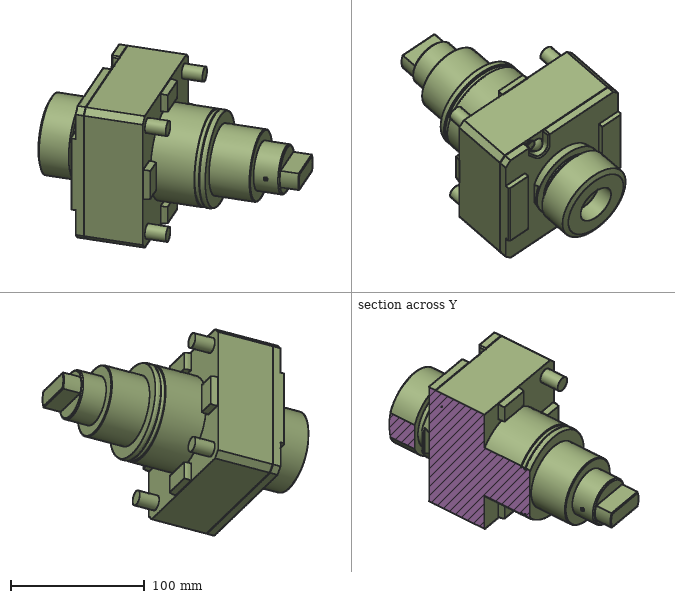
import cadquery as cq
import math


total_length = 201.7
nut_end = 25.2
neck_step_x = 29.5
collar_start = 31.9
collar_flat_start = 33.5
housing_front = 38.5
cover_joint = 44.8
housing_back = 91.4
pilot_end = 134.3
sleeve_end = 166.5
shaft_end = 186.7

nut_radius = 31.5
neck_radius = 25.2
undercut_radius = 24.0
collar_radius = 30.7
collar_rear_radius = 29.2
pilot_radius = 37.5
sleeve_radius = 27.6
shaft_radius = 19.2

nut_chamfer_length = 2.0
nut_chamfer_depth = 4.0
bore_radius = 15.1
bore_depth = 14.0
collar_half_flats = 27.6

pilot_chamfer_length = 2.0
pilot_chamfer_depth = 0.6
sleeve_chamfer = 0.6
shaft_chamfer = 1.0

ring_groove_start = 125.8
ring_groove_width = 4.0
ring_width = 3.2
ring_groove_depth = 1.2
ring_height = 1.0

housing_side = 112.0
housing_half = housing_side / 2
housing_chamfer = 4.8
joint_width = 0.5
joint_depth = 0.1
joint_end = cover_joint + joint_width

pad_thickness = 3.8
pad_width = 19.2
pad_height = 60.5
pad_outer_chamfer = 1.0

pocket_radius = 7.9
pocket_y = 19.8
pocket_z = 44.2
pocket_left_y = 32.9
pocket_right_y = pocket_y - pocket_radius
pocket_corner_z = 47.5
pocket_chamfer = 1.2
ball_radius = 5.8
ball_height = 4.2
stud_radius = 4.0
stud_height = 1.6
stud_y = 26.6
stud_z = 49.6

screw_radius = 5.8
screw_length = 16.3
screw_offset = 45.0
key_width = 24.8
key_height = 5.5
key_inner = 40.3
key_outer = 55.3
key_draft = 0.8
key_taper_length = 2.6
key_taper_depth = 0.6

tang_radius = 17.3
tang_thickness = 14.1
tang_chamfer = 0.6
pin_hole_x = 176.0
pin_hole_radius = 0.8
pin_sink_radius = 1.6
pin_hole_depth = 4.0


def rod(start, end, radius):
    """Solid cylinder on the spindle axis between two x positions."""
    return cq.Workplane("YZ", origin=(start, 0, 0)).circle(radius).extrude(end - start)


def box(x_range, y_range, z_range):
    """Box given by its limits along each axis."""
    (x0, x1), (y0, y1), (z0, z1) = x_range, y_range, z_range
    return cq.Workplane("XY").box(x1 - x0, y1 - y0, z1 - z0, centered=False).translate((x0, y0, z0))


def make_nut():
    """Collet nut with a chamfered nose and a blind bore."""
    nut = rod(0, nut_end, nut_radius)
    nut = nut.faces("<X").chamfer(nut_chamfer_length, nut_chamfer_depth)
    return nut.cut(rod(0, bore_depth, bore_radius))


def make_neck_and_collar():
    """Stepped neck behind the nut, then a slightly conical collar with two wrench flats."""
    neck = rod(nut_end, neck_step_x, neck_radius)
    undercut = rod(neck_step_x, collar_start, undercut_radius)
    collar = cq.Workplane(
        cq.Solid.makeCone(
            collar_radius,
            collar_rear_radius,
            housing_front - collar_start,
            pnt=cq.Vector(collar_start, 0, 0),
            dir=cq.Vector(1, 0, 0),
        )
    )
    for y_range in ((collar_half_flats, collar_radius), (-collar_radius, -collar_half_flats)):
        collar = collar.cut(box((collar_flat_start, housing_front), y_range, (-collar_radius, collar_radius)))
    return neck.union(undercut).union(collar)


def make_square_plate(start, end, side, chamfer):
    plate = cq.Workplane("YZ", origin=(start, 0, 0)).rect(side, side).extrude(end - start)
    return plate.edges("|X").chamfer(chamfer)


def make_housing():
    """Square block with a shallow groove around it where the front cover meets the body."""
    housing = make_square_plate(housing_front, housing_back, housing_side, housing_chamfer)
    blank = make_square_plate(cover_joint, joint_end, housing_side, housing_chamfer)
    core = make_square_plate(cover_joint, joint_end, housing_side - 2 * joint_depth, housing_chamfer)
    return housing.cut(blank.cut(core))


def make_pad():
    """Pad at the +Y edge of the front face."""
    pad = box(
        (housing_front - pad_thickness, housing_front),
        (housing_half - pad_width, housing_half),
        (-pad_height / 2, pad_height / 2),
    )
    return pad.edges("<X and >Y").chamfer(pad_outer_chamfer)


def pocket_outline():
    """Outline of the coolant pocket: open at the top, round below, slanted side tangent to the round."""
    corner_y = pocket_left_y - pocket_y
    corner_z = pocket_corner_z - pocket_z
    corner_angle = math.atan2(corner_z, corner_y)
    tangent_angle = corner_angle - math.acos(pocket_radius / math.hypot(corner_y, corner_z))
    tangent = (
        pocket_y + pocket_radius * math.cos(tangent_angle),
        pocket_z + pocket_radius * math.sin(tangent_angle),
    )
    open_end_z = housing_half + pocket_radius
    return (
        cq.Workplane("YZ", origin=(housing_front, 0, 0))
        .moveTo(pocket_left_y, open_end_z)
        .lineTo(pocket_left_y, pocket_corner_z)
        .lineTo(*tangent)
        .threePointArc((pocket_y, pocket_z - pocket_radius), (pocket_right_y, pocket_z))
        .lineTo(pocket_right_y, open_end_z)
        .close()
    )


def cut_pocket(body):
    """Cut the pocket through the cover to the body face, with chamfered front and top edges."""
    depth = joint_end - housing_front
    front_chamfer = pocket_outline().extrude(pocket_chamfer, taper=45)
    recess = pocket_outline().offset2D(-pocket_chamfer).extrude(depth)
    top_chamfer = (
        cq.Workplane("YZ", origin=(housing_front, 0, 0))
        .moveTo(pocket_left_y, housing_half)
        .lineTo(pocket_left_y - pocket_chamfer, housing_half - pocket_chamfer)
        .lineTo(pocket_right_y + pocket_chamfer, housing_half - pocket_chamfer)
        .lineTo(pocket_right_y, housing_half)
        .close()
        .extrude(depth)
    )
    return body.cut(front_chamfer).cut(recess).cut(top_chamfer)


def make_pocket_fittings():
    """Coolant ball and the stud beside it, both rooted below the pocket floor."""
    ball_x = joint_end - ball_height + ball_radius
    ball = cq.Workplane("XY").sphere(ball_radius).translate((ball_x, pocket_y, pocket_z))
    stud = (
        cq.Workplane("YZ", origin=(joint_end - stud_height, stud_y, stud_z))
        .circle(stud_radius)
        .extrude(2 * stud_height)
    )
    return ball.union(stud)


def make_pilot():
    """Pilot behind the housing, with a groove that holds a bulging O-ring."""
    pilot = rod(housing_back, pilot_end, pilot_radius)
    pilot = pilot.faces(">X").chamfer(pilot_chamfer_length, pilot_chamfer_depth)
    groove_end = ring_groove_start + ring_groove_width
    floor_radius = pilot_radius - ring_groove_depth
    groove = rod(ring_groove_start, groove_end, pilot_radius)
    groove = groove.cut(rod(ring_groove_start, groove_end, floor_radius))
    ring_middle = ring_groove_start + ring_width / 2
    ring_end = ring_groove_start + ring_width
    ring = (
        cq.Workplane("XY")
        .moveTo(ring_groove_start, floor_radius)
        .threePointArc((ring_middle, floor_radius + ring_height), (ring_end, floor_radius))
        .lineTo(ring_end, floor_radius - ring_height)
        .lineTo(ring_groove_start, floor_radius - ring_height)
        .close()
        .revolve(360, (0, 0, 0), (1, 0, 0))
    )
    return pilot.cut(groove).union(ring)


def make_shaft():
    sleeve = rod(pilot_end, sleeve_end, sleeve_radius).faces(">X").chamfer(sleeve_chamfer)
    shaft = rod(sleeve_end, shaft_end, shaft_radius).faces(">X").chamfer(shaft_chamfer)
    return sleeve.union(shaft)


def make_tang():
    """Drive tang: a round end with two flats across Z."""
    flats = box(
        (shaft_end, total_length),
        (-tang_radius, tang_radius),
        (-tang_thickness / 2, tang_thickness / 2),
    )
    tang = rod(shaft_end, total_length, tang_radius).intersect(flats)
    return tang.faces(">X").chamfer(tang_chamfer)


def make_pin_hole():
    """Countersunk radial hole entering the shaft from -Y."""
    hole = (
        cq.Workplane("XZ", origin=(pin_hole_x, -shaft_radius, 0))
        .circle(pin_hole_radius)
        .extrude(-pin_hole_depth)
    )
    sink_depth = pin_sink_radius - pin_hole_radius
    sink = cq.Solid.makeCone(
        pin_sink_radius,
        pin_hole_radius,
        sink_depth,
        pnt=cq.Vector(pin_hole_x, -shaft_radius, 0),
        dir=cq.Vector(0, 1, 0),
    )
    return hole.union(cq.Workplane(sink))


def make_key():
    """Key at the top of the back face, with tapered ends and a slightly drafted outer side."""
    key_end = housing_back + key_height
    taper_start = key_end - key_taper_length
    half_width = key_width / 2
    tip_half_width = half_width - key_taper_depth
    plan = (
        cq.Workplane("XY", origin=(0, 0, key_inner))
        .moveTo(housing_back, -half_width)
        .lineTo(taper_start, -half_width)
        .lineTo(key_end, -tip_half_width)
        .lineTo(key_end, tip_half_width)
        .lineTo(taper_start, half_width)
        .lineTo(housing_back, half_width)
        .close()
        .extrude(key_outer - key_inner)
    )
    draft = (
        cq.Workplane("XZ", origin=(0, half_width, 0))
        .moveTo(housing_back, key_outer)
        .lineTo(key_end, key_outer)
        .lineTo(key_end, key_outer - key_draft)
        .close()
        .extrude(key_width)
    )
    return plan.cut(draft)


def make_screws():
    return (
        cq.Workplane("YZ", origin=(housing_back, 0, 0))
        .rect(2 * screw_offset, 2 * screw_offset, forConstruction=True)
        .vertices()
        .circle(screw_radius)
        .extrude(screw_length)
    )


pad = make_pad()
key = make_key()

result = cut_pocket(make_housing())
result = result.union(make_pocket_fittings())
result = result.union(pad).union(pad.mirror("XZ"))
result = result.union(make_nut()).union(make_neck_and_collar())
result = result.union(make_pilot()).union(make_shaft()).union(make_tang())
result = result.cut(make_pin_hole())
result = result.union(make_screws())
for angle in (0, 90, 180, 270):
    result = result.union(key.rotate((0, 0, 0), (1, 0, 0), angle))